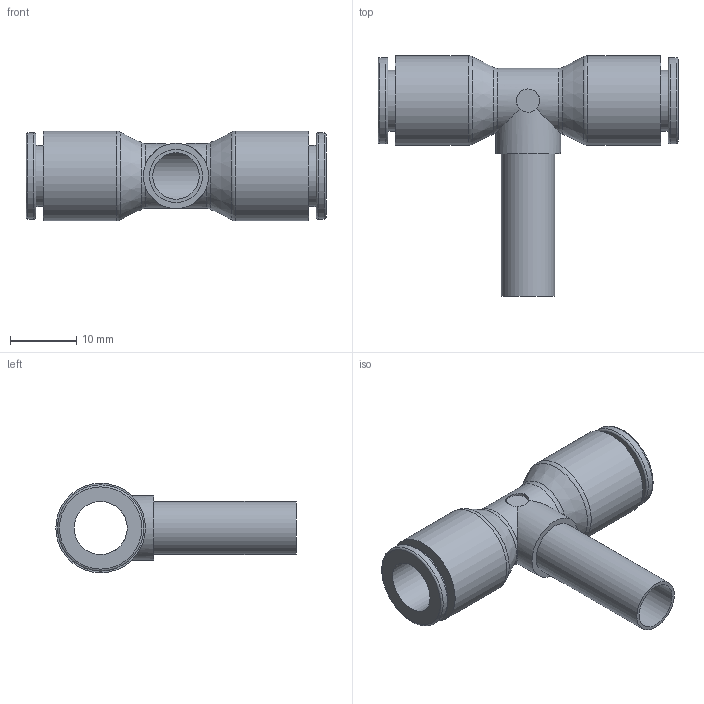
import cadquery as cq
import math

overall_length = 45.2
overall_width = 36.2

bore_radius = 4.0

collar_radius = 6.5
collar_width = 1.5
collar_edge_radius = 0.3
neck_radius = 4.6

socket_radius = 6.75
socket_end_x = 20.0
waist_radius = 4.9
cone_start_x = 4.95
cone_end_x = 8.65
cone_corner_radius = 1.5

shoulder_y = -8.0
tube_radius = 4.0
tube_bore_radius = 3.5
tube_end_y = socket_radius - overall_width

recess_radius = 1.75
recess_floor_z = 4.4


def cylinder_along_y(radius, start_y, end_y):
    plane = cq.Plane(origin=(0, start_y, 0), xDir=(1, 0, 0), normal=(0, -1, 0))
    return cq.Workplane(plane).circle(radius).extrude(start_y - end_y)


def half_run():
    """Solid of revolution for the +X half of the run, without its bore."""
    end_x = overall_length / 2
    collar_x = end_x - collar_width
    cone_angle = math.atan2(socket_radius - waist_radius, cone_end_x - cone_start_x)
    tangent_length = cone_corner_radius * math.tan(cone_angle / 2)
    tangent_run = tangent_length * math.cos(cone_angle)
    tangent_rise = tangent_length * math.sin(cone_angle)
    cone_lower_point = (cone_start_x + tangent_run, waist_radius + tangent_rise)
    cone_upper_point = (cone_end_x - tangent_run, socket_radius - tangent_rise)
    profile = (
        cq.Workplane("XY")
        .moveTo(0, 0)
        .lineTo(0, waist_radius)
        .lineTo(cone_start_x - tangent_length, waist_radius)
        .tangentArcPoint(cone_lower_point, relative=False)
        .lineTo(*cone_upper_point)
        .tangentArcPoint((cone_end_x + tangent_length, socket_radius), relative=False)
        .lineTo(socket_end_x, socket_radius)
        .lineTo(socket_end_x, neck_radius)
        .lineTo(collar_x, neck_radius)
        .lineTo(collar_x, collar_radius - collar_edge_radius)
        .tangentArcPoint((collar_x + collar_edge_radius, collar_radius), relative=False)
        .lineTo(end_x - collar_edge_radius, collar_radius)
        .tangentArcPoint((end_x, collar_radius - collar_edge_radius), relative=False)
        .lineTo(end_x, 0)
        .close()
    )
    return profile.revolve(360, (0, 0, 0), (1, 0, 0))


def branch():
    shoulder = cylinder_along_y(waist_radius, 0, shoulder_y)
    tube = cylinder_along_y(tube_radius, shoulder_y, tube_end_y)
    return shoulder.union(tube)


def bores():
    run_bore = cq.Workplane("YZ").circle(bore_radius).extrude(overall_length / 2, both=True)
    branch_bore = cylinder_along_y(tube_bore_radius, 0, tube_end_y)
    return run_bore.union(branch_bore)


def marking_recess():
    depth = waist_radius - recess_floor_z
    return cq.Workplane("XY").workplane(offset=recess_floor_z).circle(recess_radius).extrude(depth)


right_half = half_run()
run = right_half.union(right_half.mirror("YZ"))
result = run.union(branch()).cut(bores()).cut(marking_recess())